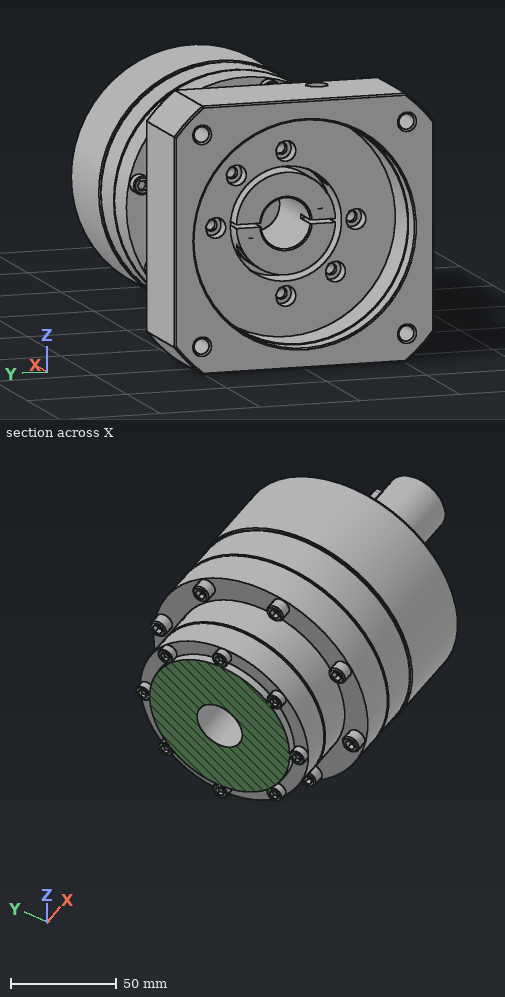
import cadquery as cq
import math


flange_back = 43.0
collar_end = 55.7
input_groove = 71.0
rim_start = 89.0
stage_joint = 108.0
drum_start = 128.5
drum_end = 172.0
pilot_end = 180.9
seal_end = 183.0
shaft_end = 234.0

flange_width = 130.0
flange_corner_radius = 82.5
flange_chamfer = 0.82
pocket_radius = 54.8
pocket_depth = 28.0
pilot_recess_radius = 55.2
pilot_recess_depth = 9.4
pocket_chamfer = 0.7
flange_bore_radius = 27.8
mount_circle_radius = 72.5
mount_angles = (45, 135, 225, 315)
mount_hole_radius = 3.7
mount_hole_depth = 28.0
mount_hole_chamfer = 1.0
drill_cone_ratio = 0.6
fixing_circle_radius = 35.0
fixing_angles = (0, 45, 90, 180, 225, 270)
fixing_hole_radius = 5.0
fixing_hole_depth = 7.0
socket_radius = 2.8
socket_depth = 2.8

hub_front = pocket_depth
hub_radius = 24.8
hub_bore_radius = 12.5
hub_bore_chamfer = 0.7
hub_bore_depth = 46.8
slit_width = 1.9
slit_depth = flange_back - hub_front
clamp_screw_x = 33.7
clamp_screw_offset = 17.3
clamp_access_radius = 5.1
clamp_seat_radius = 5.1
clamp_seat_height = 6.0
clamp_head_radius = 4.0
clamp_head_height = 4.7

hexagon_ratio = 0.6
hexagon_depth_ratio = 0.5

collar_radius = 39.0
collar_chamfer = 1.2
input_radius = 46.8
rim_radius = 59.7
groove_width = 0.7
groove_depth = 0.5
small_screw_radius = 4.0
small_screw_height = 4.7
small_screw_circle = input_radius - small_screw_radius
big_screw_radius = 4.5
big_screw_height = 6.3
big_screw_circle = 54.8
big_screw_start = 12.1
screw_count = 8
head_chamfer = 0.7

drum_radius = 60.4
drum_chamfer = 1.9
pilot_radius = 45.0
pilot_chamfer_length = 1.5
pilot_chamfer_drop = 0.5
seal_radius = 25.0
seal_chamfer = 0.7
shaft_radius = 16.0
shaft_chamfer = 2.0
key_start = 188.8
key_end = 228.9
key_width = 10.0
key_top = 19.0
key_seat = 10.5


def disc(x_start, x_end, radius):
    """Cylinder on the X axis between two stations."""
    return cq.Workplane("YZ").workplane(offset=x_start).circle(radius).extrude(x_end - x_start)


def drilled_hole(x_start, y, z, radius, depth):
    """Blind hole along +X with a conical bottom."""
    tip = depth + drill_cone_ratio * radius
    return (
        cq.Workplane("XY")
        .polyline([(0, 0), (0, radius), (depth, radius), (tip, 0)])
        .close()
        .revolve(360, (0, 0), (1, 0))
        .translate((x_start, y, z))
    )


def chamfered_mouth(x_start, y, z, radius, chamfer):
    """Cone to cut as the chamfer where a hole along +X begins."""
    cone = cq.Solid.makeCone(radius + chamfer, radius, chamfer, cq.Vector(x_start, y, z), cq.Vector(1, 0, 0))
    return cq.Workplane(cone)


def polar(circle_radius, angle):
    """Y and Z of a point on a circle about the X axis."""
    turn = math.radians(angle)
    return circle_radius * math.cos(turn), circle_radius * math.sin(turn)


def socket_screw_head(x_seat, y, z, radius, height):
    """Cap screw head standing on a face and pointing towards -X, with a hexagon socket."""
    return (
        cq.Workplane("YZ")
        .workplane(offset=x_seat)
        .circle(radius)
        .extrude(-height)
        .faces("<X")
        .chamfer(head_chamfer)
        .faces("<X")
        .workplane()
        .polygon(6, hexagon_ratio * 2 * radius)
        .cutBlind(-height * hexagon_depth_ratio)
        .translate((0, y, z))
    )


def edge_groove(x_start, radius):
    """Ring to cut as a shallow groove around a cylinder."""
    ring = disc(x_start, x_start + groove_width, radius + groove_depth)
    return ring.cut(disc(x_start, x_start + groove_width, radius - groove_depth))


def make_flange():
    """Square adapter flange with rounded-off corners, a motor pocket and sunk fixing screws."""
    plate = cq.Workplane("YZ").rect(flange_width, flange_width).extrude(flange_back)
    plate = plate.intersect(disc(0, flange_back, flange_corner_radius))
    plate = plate.faces("<X or >X").chamfer(flange_chamfer)

    plate = plate.cut(disc(0, pocket_depth, pocket_radius))
    plate = plate.cut(disc(0, pilot_recess_depth, pilot_recess_radius))
    pocket_mouth = cq.selectors.RadiusNthSelector(0)
    plate = plate.faces("<X").edges("%CIRCLE").edges(pocket_mouth).chamfer(pocket_chamfer)
    plate = plate.cut(disc(0, flange_back, flange_bore_radius))

    for angle in mount_angles:
        y, z = polar(mount_circle_radius, angle)
        plate = plate.cut(drilled_hole(0, y, z, mount_hole_radius, mount_hole_depth))
        plate = plate.cut(chamfered_mouth(0, y, z, mount_hole_radius, mount_hole_chamfer))

    for angle in fixing_angles:
        y, z = polar(fixing_circle_radius, angle)
        head_top = pocket_depth + fixing_hole_depth
        plate = plate.cut(disc(pocket_depth, head_top, fixing_hole_radius).translate((0, y, z)))
        plate = plate.cut(drilled_hole(head_top, y, z, socket_radius, socket_depth))

    access = (
        cq.Workplane("XY")
        .center(clamp_screw_x, -clamp_screw_offset)
        .circle(clamp_access_radius)
        .extrude(flange_width)
    )
    return plate.cut(access)


def make_hub():
    """Slit clamping hub that stands in the flange bore with a gap around it."""
    hub = disc(hub_front, flange_back, hub_radius)
    seat = (
        cq.Workplane("XY")
        .workplane(offset=clamp_seat_height)
        .center(clamp_screw_x, -clamp_screw_offset)
        .circle(clamp_seat_radius)
        .extrude(hub_radius)
    )
    head = (
        cq.Workplane("XY")
        .workplane(offset=clamp_seat_height)
        .center(clamp_screw_x, -clamp_screw_offset)
        .circle(clamp_head_radius)
        .extrude(clamp_head_height)
        .faces(">Z")
        .workplane()
        .polygon(6, hexagon_ratio * 2 * clamp_head_radius)
        .cutBlind(-clamp_head_height * hexagon_depth_ratio)
    )
    for turn in (0, 180):
        hub = hub.cut(seat.rotate((0, 0, 0), (1, 0, 0), turn))
        hub = hub.union(head.rotate((0, 0, 0), (1, 0, 0), turn))
    slit = cq.Workplane("XY").box(slit_depth, 2 * hub_radius, slit_width, centered=(False, True, True))
    return hub.cut(slit.translate((hub_front, 0, 0)))


def make_input_stage():
    """Stepped input housing carrying the clamping hub and two rings of screw heads."""
    collar = disc(flange_back, collar_end, collar_radius).faces("<X").chamfer(collar_chamfer)
    stage = collar.union(disc(collar_end, rim_start, input_radius))
    stage = stage.union(disc(rim_start, stage_joint, rim_radius))
    stage = stage.cut(edge_groove(input_groove - groove_width / 2, input_radius))
    stage = stage.cut(edge_groove(stage_joint - groove_width, rim_radius))

    stage = stage.union(make_hub())
    stage = stage.cut(disc(hub_front, hub_front + hub_bore_depth, hub_bore_radius))
    stage = stage.cut(chamfered_mouth(hub_front, 0, 0, hub_bore_radius, hub_bore_chamfer))

    for i in range(screw_count):
        turn = 360 / screw_count * i
        y, z = polar(small_screw_circle, turn)
        stage = stage.union(socket_screw_head(collar_end, y, z, small_screw_radius, small_screw_height))
        y, z = polar(big_screw_circle, big_screw_start + turn)
        stage = stage.union(socket_screw_head(rim_start, y, z, big_screw_radius, big_screw_height))
    return stage


def make_output_stage():
    """Output drum with its pilot, seal, shaft and key."""
    stage = disc(stage_joint, drum_start, rim_radius)
    stage = stage.union(disc(drum_start, drum_end, drum_radius).faces(">X").chamfer(drum_chamfer))
    stage = stage.cut(edge_groove(drum_start - groove_width, rim_radius))
    pilot = disc(drum_end, pilot_end, pilot_radius)
    stage = stage.union(pilot.faces(">X").chamfer(pilot_chamfer_length, pilot_chamfer_drop))
    stage = stage.union(disc(pilot_end, seal_end, seal_radius).faces(">X").chamfer(seal_chamfer))
    stage = stage.union(disc(seal_end, shaft_end, shaft_radius).faces(">X").chamfer(shaft_chamfer))
    key = (
        cq.Workplane("XZ", origin=((key_start + key_end) / 2, key_top, 0))
        .slot2D(key_end - key_start, key_width)
        .extrude(key_top - key_seat)
    )
    return stage.union(key)


flange = make_flange()
input_stage = make_input_stage()
output_stage = make_output_stage()

result = cq.Compound.makeCompound([flange.val(), input_stage.val(), output_stage.val()])